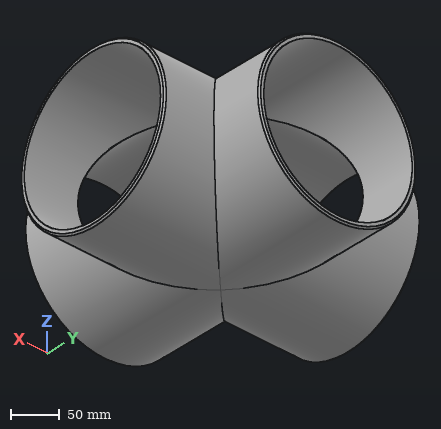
import cadquery as cq

length = 355.5
outer_diameter = 219.0
wall = 6.5
bevel = 2.0


def centred_cylinder(workplane, diameter):
    """Full-length cylinder along the normal of the named plane."""
    return cq.Workplane(workplane).circle(diameter / 2).extrude(length / 2, both=True)


def bevelled_pipe_body(workplane):
    """Solid outer body of one run, with both end rims bevelled."""
    body = centred_cylinder(workplane, outer_diameter)
    return body.faces("%PLANE").chamfer(bevel)


run_planes = ("YZ", "XZ")
outer = bevelled_pipe_body(run_planes[0]).union(bevelled_pipe_body(run_planes[1]))

bore_diameter = outer_diameter - 2 * wall
result = outer
for plane in run_planes:
    result = result.cut(centred_cylinder(plane, bore_diameter))